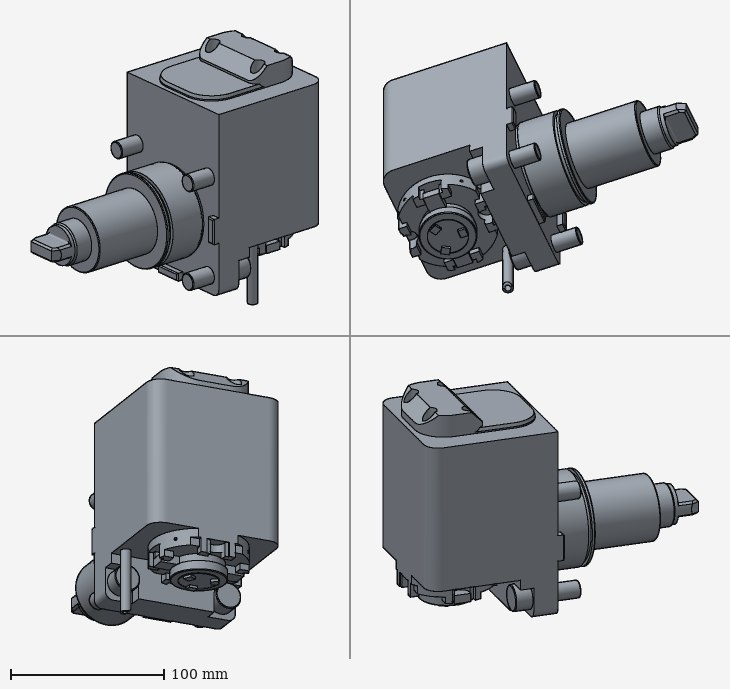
import cadquery as cq

overall_length = 201.8

body_width = 94.0
body_depth = 90.0
body_top = 82.1
body_underside = -18.8
back_corner_radius = 10.0
leg_depth = 26.0
leg_bottom = -47.5
leg_corner_radius = 5.5

cover_width = 61.8
cover_margin = 3.6
cover_corner_radius = 20.2
cover_plate_height = 3.5
cover_bevel_height = 2.5
cover_bevel_inset = 0.8
cover_block_height = 15.1
cover_block_front = 44.2
cover_block_corner_radius = 7.7
cover_slope = 10.0
cover_hole_diameter = 9.5
front_hole_half_pitch = 23.0
front_hole_y = 52.9
front_hole_depth = 10.0
back_hole_half_pitch = 17.2
back_hole_y = 78.3
back_hole_depth = 10.0

shank_sections = [
    (63.4, 1.8, 0),
    (65.0, 26.8, 0),
    (60.1, 29.5, 0),
    (65.0, 31.7, 0.6),
    (45.0, 81.0, 0.6),
    (29.0, 94.2, 1.0),
    (27.0, 96.9, 0),
]
tang_thickness = 9.9
tang_end = overall_length - body_depth
tang_tip_width = 21.0
tang_taper_length = 6.0
tang_bevel = 1.5
tang_root_radius = 1.2
tang_root_search = 0.2

screw_half_pitch_x = 36.5
screw_half_pitch_z = 35.0
screw_diameter = 12.0
screw_reach = 18.0
screw_bevel = 0.6
head_diameter = 18.0
head_seat = 17.0
head_end = 28.9
relief_radius = 9.3

key_reach = 4.6
key_bevel = 0.8
side_key_width = 5.9
side_key_height = 18.0
bottom_key_width = 20.2
bottom_key_height = 5.7
bottom_key_gap = 0.8

spindle_y = 60.1
ring_diameter = 66.2
ring_bottom = -30.3
dog_bottom = -34.7
dog_inner_radius = 24.0
dog_outer_half_width = 12.3
slot_width = 16.0
slot_top = -24.8
slot_depth = 4.0
slot_round_diameter = 11.3
slot_round_center = 27.2
slot_key_outer_radius = 30.0
slot_key_bottom = -36.1
flat_distance = 27.2
set_screw_diameter = 2.0
set_screw_depth = 2.0
set_screw_angle = 37.5
nut_neck_diameter = 35.1
nut_neck_bottom = -35.7
nut_diameter = 38.0
nut_bottom = -42.2
nut_bevel = 0.6
nut_face_diameter = 27.0
nut_face_bottom = -42.8
lug_count = 3
lug_orbit_radius = 10.5
lug_length = 5.2
lug_width = 5.9
lug_bottom = -44.5

pipe_x = 40.4
pipe_y = 34.1
pipe_diameter = 7.0
pipe_bottom = -62.2
pipe_bore = 4.0
pipe_bore_depth = 6.0
pipe_bevel = 2.6

overlap = 2.0


def block(x_range, y_range, z_range):
    """Box between the given limits."""
    size = [high - low for low, high in (x_range, y_range, z_range)]
    corner = (x_range[0], y_range[0], z_range[0])
    return cq.Workplane("XY").box(*size, centered=False).translate(corner)


def upright(diameter, x, y, z_low, z_high):
    """Cylinder along Z."""
    return cq.Workplane("XY", origin=(x, y, z_low)).circle(diameter / 2).extrude(z_high - z_low)


def lengthwise(diameter, x, z, y_front, y_back):
    """Cylinder along Y."""
    plane = cq.Workplane("XZ", origin=(x, y_back, z))
    return plane.circle(diameter / 2).extrude(y_back - y_front)


def make_housing():
    half = body_width / 2
    head = block((-half, half), (0, body_depth), (body_underside, body_top))
    head = head.edges("|Z and >Y").fillet(back_corner_radius)
    leg = block((-half, half), (0, leg_depth), (leg_bottom, body_underside + overlap))
    leg = leg.edges("|Y and <Z").fillet(leg_corner_radius)
    return head.union(leg)


def make_head_relief(side):
    """Corner recess behind the leg, wrapped around one lower screw head."""
    center_x = side * screw_half_pitch_x
    inner_x = center_x - side * relief_radius
    outer_x = side * (body_width / 2 + overlap)
    y_range = (head_seat, leg_depth)
    z_low = leg_bottom - overlap
    across = tuple(sorted((inner_x, outer_x)))
    outward = tuple(sorted((center_x, outer_x)))
    relief = lengthwise(2 * relief_radius, center_x, -screw_half_pitch_z, *y_range)
    relief = relief.union(block(across, y_range, (z_low, -screw_half_pitch_z)))
    return relief.union(block(outward, y_range, (z_low, -screw_half_pitch_z + relief_radius)))


def make_cover():
    cover_depth = body_depth - 2 * cover_margin
    outline = (
        cq.Workplane("XY", origin=(0, body_depth / 2, body_top))
        .rect(cover_width, cover_depth)
    )
    plate = outline.extrude(cover_plate_height).edges("|Z").fillet(cover_corner_radius)
    plate = plate.faces(">Z").edges().chamfer(cover_bevel_height, cover_bevel_inset)

    top = body_top + cover_block_height
    back = body_depth - cover_margin
    shoulder = top - cover_slope
    profile = [
        (cover_block_front, body_top),
        (cover_block_front, shoulder),
        (cover_block_front + cover_slope, top),
        (back - cover_slope, top),
        (back, shoulder),
        (back, body_top),
    ]
    ridge = cq.Workplane("YZ").polyline(profile).close().extrude(cover_width / 2, both=True)
    half = cover_width / 2
    rounded = block((-half, half), (cover_block_front, back), (body_top, top))
    rounded = rounded.edges("|Z and >Y").fillet(cover_corner_radius)
    rounded = rounded.edges("|Z and <Y").fillet(cover_block_corner_radius)
    cover = plate.union(ridge.intersect(rounded))

    holes = [
        (front_hole_half_pitch, front_hole_y, front_hole_depth),
        (back_hole_half_pitch, back_hole_y, back_hole_depth),
    ]
    for half_pitch, y, depth in holes:
        for side in (-1, 1):
            cover = cover.cut(upright(cover_hole_diameter, side * half_pitch, y, top - depth, top))
    return cover


def make_shank():
    shank = None
    start = -overlap
    for diameter, end, bevel in shank_sections:
        section = lengthwise(diameter, 0, 0, -end, -start)
        if bevel:
            section = section.faces("<Y").chamfer(bevel)
        shank = section if shank is None else shank.union(section)
        start = end
    return shank.union(make_tang())


def make_tang():
    """Flat drive tang, rounded on its sides and tapered at its tip."""
    diameter, shoulder, _ = shank_sections[-1]
    root = -shoulder + overlap
    half = diameter / 2
    outline = [
        (-half, root),
        (-half, -tang_end + tang_taper_length),
        (-tang_tip_width / 2, -tang_end),
        (tang_tip_width / 2, -tang_end),
        (half, -tang_end + tang_taper_length),
        (half, root),
    ]
    blade = cq.Workplane("XY").polyline(outline).close().extrude(tang_thickness / 2, both=True)
    blade = blade.intersect(lengthwise(diameter, 0, 0, -tang_end, root))
    return blade.faces("<Z or >Z").edges("not >Y").chamfer(tang_bevel)


def soften_tang_root(part):
    """Fillet the two inner corners where the tang leaves the shoulder."""
    diameter, shoulder, _ = shank_sections[-1]
    half = tang_thickness / 2 + tang_root_search
    corner = (diameter / 2, -shoulder + tang_root_search, half)
    opposite = (-corner[0], -shoulder - tang_root_search, -half)
    return part.edges("|X").edges(cq.selectors.BoxSelector(opposite, corner)).fillet(tang_root_radius)


def make_screws():
    screws = None
    for side in (-1, 1):
        for level in (-1, 1):
            x = side * screw_half_pitch_x
            z = level * screw_half_pitch_z
            screw = lengthwise(screw_diameter, x, z, -screw_reach, overlap)
            screw = screw.faces("<Y").chamfer(screw_bevel)
            if level < 0:
                head = lengthwise(head_diameter, x, z, head_seat - overlap, head_end)
                screw = screw.union(head.faces(">Y").chamfer(screw_bevel))
            screws = screw if screws is None else screws.union(screw)
    return screws


def make_keys():
    y_range = (-key_reach, overlap)
    outer = body_width / 2
    low = leg_bottom + bottom_key_gap
    half_height = side_key_height / 2
    half_width = bottom_key_width / 2
    keys = [
        block((-outer, -outer + side_key_width), y_range, (-half_height, half_height)),
        block((outer - side_key_width, outer), y_range, (-half_height, half_height)),
        block((-half_width, half_width), y_range, (low, low + bottom_key_height)),
    ]
    joined = None
    for key in keys:
        key = key.faces("<Y").edges().chamfer(key_bevel)
        joined = key if joined is None else joined.union(key)
    return joined


def at_spindle(shape, angle=0):
    """Turn a shape made around the Z axis and move it onto the spindle axis."""
    return shape.rotate((0, 0, 0), (0, 0, 1), angle).translate((0, spindle_y, 0))


def make_ring():
    """Slotted drive ring; shapes are made on the -X side and turned to each quarter."""
    radius = ring_diameter / 2
    ring = at_spindle(upright(ring_diameter, 0, 0, ring_bottom, body_underside + overlap))
    half_slot = slot_width / 2

    lower_ring = upright(ring_diameter, 0, 0, dog_bottom, slot_top)
    band = (-dog_outer_half_width, dog_outer_half_width)
    dog = lower_ring.intersect(block((-radius, -dog_inner_radius), band, (dog_bottom, slot_top)))

    slot_z = (slot_key_bottom, slot_top)
    slot = block((-radius - overlap, -radius + slot_depth), (-half_slot, half_slot), slot_z)
    slot = slot.union(upright(slot_round_diameter, -slot_round_center, 0, *slot_z))

    half_key = slot_round_diameter / 2
    key_x = (-slot_key_outer_radius, -nut_neck_diameter / 2 + overlap)
    slot_key = block(key_x, (-half_key, half_key), (slot_key_bottom, ring_bottom))

    flat_x = (-radius - overlap, -flat_distance)
    flat_z = (ring_bottom - overlap, slot_top)
    for angle in (90, 270):
        ring = ring.cut(at_spindle(block(flat_x, (-radius, radius), flat_z), angle))
    for angle in (0, 90, 180, 270):
        ring = ring.union(at_spindle(dog, angle))
        ring = ring.cut(at_spindle(slot, angle))
    for angle in (0, 180):
        ring = ring.union(at_spindle(slot_key, angle))

    hole = (
        cq.Workplane("YZ", origin=(-radius - overlap, 0, slot_top))
        .circle(set_screw_diameter / 2)
        .extrude(overlap + set_screw_depth)
    )
    for turn in (0, 180):
        for angle in (-set_screw_angle, set_screw_angle):
            ring = ring.cut(at_spindle(hole, turn + angle))

    behind = block((-radius, radius), (body_depth, body_depth + radius), (dog_bottom - overlap, 0))
    return ring.cut(behind)


def make_nut():
    neck = upright(nut_neck_diameter, 0, 0, nut_neck_bottom, ring_bottom + overlap)
    nut = upright(nut_diameter, 0, 0, nut_bottom, nut_neck_bottom)
    nut = nut.faces("<Z").chamfer(nut_bevel).union(neck)
    nut = nut.union(upright(nut_face_diameter, 0, 0, nut_face_bottom, nut_bottom))
    lug = (
        cq.Workplane("XY", origin=(0, -lug_orbit_radius, lug_bottom))
        .rect(lug_width, lug_length)
        .extrude(nut_bottom - lug_bottom)
    )
    for index in range(lug_count):
        nut = nut.union(lug.rotate((0, 0, 0), (0, 0, 1), index * 360 / lug_count))
    return at_spindle(nut)


def make_pipe():
    """Coolant pipe, bevelled towards -X at its open lower end."""
    pipe = upright(pipe_diameter, pipe_x, pipe_y, pipe_bottom, body_underside + overlap)
    edge = pipe_x - pipe_diameter / 2
    bevel = (
        cq.Workplane("XZ", origin=(0, pipe_y, 0))
        .moveTo(edge, pipe_bottom)
        .lineTo(edge + pipe_bevel, pipe_bottom)
        .lineTo(edge, pipe_bottom + pipe_bevel)
        .close()
        .extrude(pipe_diameter, both=True)
    )
    bore = upright(pipe_bore, pipe_x, pipe_y, pipe_bottom, pipe_bottom + pipe_bore_depth)
    return pipe.cut(bevel).cut(bore)


housing = make_housing()
for side in (-1, 1):
    housing = housing.cut(make_head_relief(side))

result = housing.union(make_cover())
result = result.union(soften_tang_root(make_shank()))
result = result.union(make_screws())
result = result.union(make_keys())
result = result.union(make_ring())
result = result.union(make_nut())
result = result.union(make_pipe())